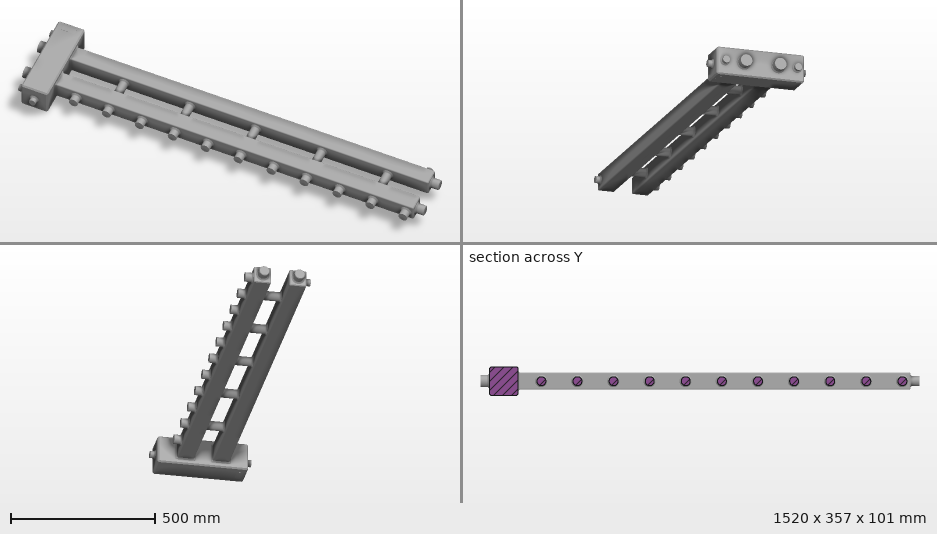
import cadquery as cq

OVERALL_LENGTH_X = 1520.0
OVERALL_LENGTH_Y = 357.0

HEADER_SIDE = 100.0
HEADER_LENGTH = 320.0
HEADER_BEVEL = 5.0

BEAM_SIDE = 60.0
BEAM_ROUND = 4.0
BEAM_END_BEVEL = 3.0
BEAM_Y = 62.5
BEAM_END_X = 1408.0

OUTLET_COUNT = 11
OUTLET_PITCH = 125.0
OUTLET_START_X = 130.0
OUTLET_LENGTH = 28.0

SUPPLY_DIAMETER = 42.0
OUTLET_DIAMETER = 32.5
DRAIN_DIAMETER = 25.0
SENSOR_DIAMETER = 25.0

SUPPLY_LENGTH = 30.0
SENSOR_LENGTH = 18.5
SENSOR_Y = 132.0
END_DIAMETER = 36.0
END_CHAMFER = 2.0

WELD_LEG = 5.0

PLATE_X = 50.0
PLATE_Y = 22.0
PLATE_CENTRE_Y = 136.0
PLATE_THICKNESS = 0.5

HEADER_FACE = HEADER_SIDE / 2
HEADER_END = HEADER_LENGTH / 2
BEAM_HALF = BEAM_SIDE / 2
BEAM_GAP = 2 * BEAM_Y - BEAM_SIDE
DRAIN_LENGTH = (OVERALL_LENGTH_Y - HEADER_LENGTH) / 2
END_LENGTH = OVERALL_LENGTH_X - HEADER_FACE - SUPPLY_LENGTH - BEAM_END_X
OUTLET_XS = [OUTLET_START_X + i * OUTLET_PITCH for i in range(OUTLET_COUNT)]

LEFT = cq.Vector(-1, 0, 0)
RIGHT = cq.Vector(1, 0, 0)
FRONT = cq.Vector(0, -1, 0)
BACK = cq.Vector(0, 1, 0)


def weld(x, y, direction, diameter):
    """Conical weld bead around a pipe where it leaves a face."""
    radius = diameter / 2
    root_radius = radius + WELD_LEG
    bead = cq.Solid.makeCone(root_radius, radius, WELD_LEG, cq.Vector(x, y, 0), direction)
    return cq.Workplane(bead)


def stub(x, y, direction, diameter, length, chamfer=0):
    """Welded pipe stub starting at the face point (x, y)."""
    pipe = cq.Workplane(cq.Solid.makeCylinder(diameter / 2, length, cq.Vector(x, y, 0), direction))
    if chamfer:
        pipe = pipe.faces(cq.selectors.DirectionMinMaxSelector(direction)).edges().chamfer(chamfer)
    return pipe.union(weld(x, y, direction, diameter))


def header():
    """Header box with all edges bevelled."""
    box = cq.Workplane().box(HEADER_SIDE, HEADER_LENGTH, HEADER_SIDE)
    return box.edges().chamfer(HEADER_BEVEL)


def name_plates():
    """Block through the header whose ends stand proud as the two plates."""
    height = HEADER_SIDE + 2 * PLATE_THICKNESS
    return cq.Workplane().box(PLATE_X, PLATE_Y, height).translate((0, PLATE_CENTRE_Y, 0))


def beam(y):
    """Square beam with rounded long edges, a bevelled end and a weld taper at the header."""
    section = cq.Workplane("YZ").center(y, 0).rect(BEAM_SIDE, BEAM_SIDE)
    bar = section.extrude(BEAM_END_X).edges("|X").fillet(BEAM_ROUND)
    bar = bar.faces(">X").edges().chamfer(BEAM_END_BEVEL)
    weld_root = BEAM_SIDE + 2 * WELD_LEG
    taper = cq.Workplane("YZ", origin=(HEADER_FACE, y, 0)).rect(weld_root, weld_root)
    taper = taper.workplane(offset=WELD_LEG).rect(BEAM_SIDE, BEAM_SIDE).loft(combine=True)
    return bar.union(taper.edges("not(#X)").fillet(BEAM_ROUND))


def connector(x):
    """Pipe across the gap between the beams, welded at both ends."""
    inner_face = BEAM_Y - BEAM_HALF
    pipe = stub(x, -inner_face, BACK, OUTLET_DIAMETER, BEAM_GAP)
    return pipe.union(weld(x, inner_face, FRONT, OUTLET_DIAMETER))


result = header().union(name_plates())
for side in (-1, 1):
    beam_y = side * BEAM_Y
    result = result.union(beam(beam_y))
    result = result.union(stub(-HEADER_FACE, beam_y, LEFT, SUPPLY_DIAMETER, SUPPLY_LENGTH))
    result = result.union(stub(BEAM_END_X, beam_y, RIGHT, END_DIAMETER, END_LENGTH, END_CHAMFER))
    result = result.union(stub(-HEADER_FACE, side * SENSOR_Y, LEFT, SENSOR_DIAMETER, SENSOR_LENGTH))
    outward = BACK if side > 0 else FRONT
    result = result.union(stub(0, side * HEADER_END, outward, DRAIN_DIAMETER, DRAIN_LENGTH))

for outlet_x in OUTLET_XS:
    result = result.union(stub(outlet_x, -BEAM_Y - BEAM_HALF, FRONT, OUTLET_DIAMETER, OUTLET_LENGTH))
for connector_x in OUTLET_XS[1::2]:
    result = result.union(connector(connector_x))
result = result.union(stub(OUTLET_XS[-1], BEAM_Y + BEAM_HALF, BACK, SENSOR_DIAMETER, SENSOR_LENGTH))